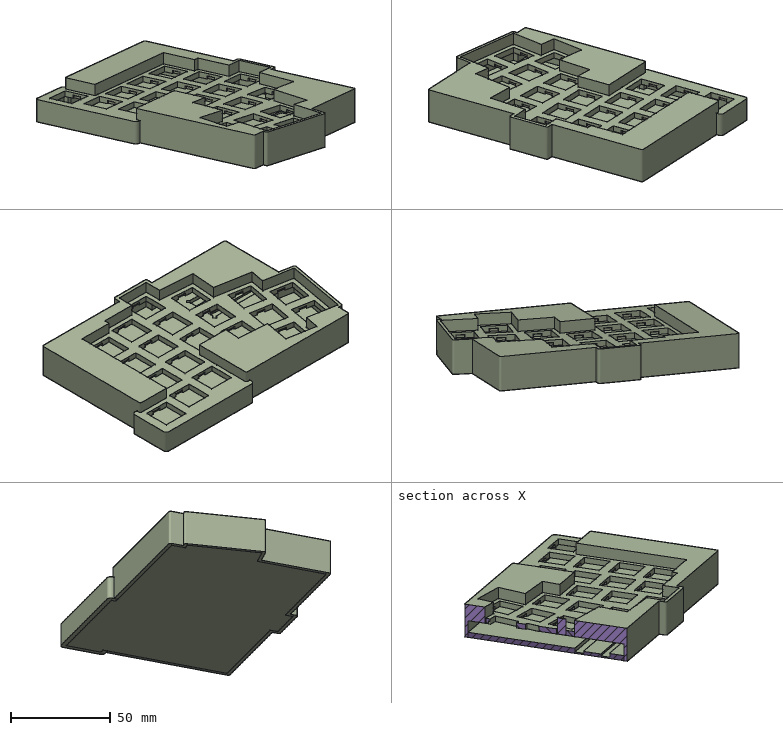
import cadquery as cq
import math

TOTAL_LENGTH = 142.4
TOTAL_DEPTH = 95.8
TOTAL_HEIGHT = 18.0
PLATE_TOP = 12.0
PLATE_THICKNESS = 3.0
PLATE_BOTTOM = PLATE_TOP - PLATE_THICKNESS
BASE_THICKNESS = 3.0

PITCH = 19.1
HALF_PITCH = PITCH / 2
KEY_HOLE = 14.0
CLIP_WIDTH = 4.5
CLIP_DEPTH = 1.0
CLIP_HEIGHT = 1.5
STAGGER = 3.0
INDEX_X = 88.1
INDEX_Y = 35.7
INDEX_TILT = -4
INNER_Y = 17.4
INNER_TILT = -10

TRAY_MARGIN = 2.5
TRAY_RADIUS = 2.0
TRAY_LENGTH = 3 * PITCH + 2 * TRAY_MARGIN
TRAY_DEPTH = PITCH + 2 * TRAY_MARGIN

WALL = 2.0
HOUSING_RADIUS = 1.0
HOUSING_LEFT = 3.1
HOUSING_RIGHT = 132.7
HOUSING_FRONT = 3.0
HOUSING_BACK = 91.7
END_CLEARANCE = 0.3

POCKET_LEFT = 97.1
POCKET_FRONT = 63.2
POCKET_BACK = 82.0
POCKET_DEPTH = 1.0
CHANNEL_DEPTH = 2.0
RIDGE_WIDTH = 9.5
RELIEF_DIAMETER = 2.1

OUTSIDE = -7.1


class Column:
    """A line of keys: its lowest key centre, its number of keys and its tilt in degrees."""

    def __init__(self, x, y, count, tilt=0.0):
        self.x = x
        self.y = y
        self.count = count
        self.tilt = tilt

    def point(self, along, up):
        """A point given in the column's own tilted axes, from its lowest key centre."""
        turn = math.radians(self.tilt)
        return (
            self.x + along * math.cos(turn) - up * math.sin(turn),
            self.y + along * math.sin(turn) + up * math.cos(turn),
        )

    def key_centres(self):
        return [self.point(0, row * PITCH) for row in range(self.count)]

    def corner(self, side, end, half=HALF_PITCH):
        """Corner of the column's cells: side -1 left or 1 right, end -1 front or 1 back."""
        up = -half if end < 0 else (self.count - 1) * PITCH + half
        return self.point(side * half, up)


def inner_column_x():
    """Place of the inner column that brings the end column's rounded corner to the full length."""
    turn = math.radians(INNER_TILT)
    corner_centre = HALF_PITCH + WALL - HOUSING_RADIUS
    along = PITCH + corner_centre
    up = HALF_PITCH + PITCH + corner_centre
    return TOTAL_LENGTH - HOUSING_RADIUS - along * math.cos(turn) + up * math.sin(turn)


FIRST_KEY = TRAY_MARGIN + HALF_PITCH

outer = Column(FIRST_KEY, FIRST_KEY, 1)
pinky = Column(FIRST_KEY + PITCH, FIRST_KEY + STAGGER, 4)
ring = Column(FIRST_KEY + 2 * PITCH, FIRST_KEY + 2 * STAGGER, 4)
middle = Column(FIRST_KEY + 3 * PITCH, TOTAL_DEPTH - WALL - HALF_PITCH - 2 * PITCH, 3)
index = Column(INDEX_X, INDEX_Y, 3, tilt=INDEX_TILT)
inner = Column(inner_column_x(), INNER_Y, 3, tilt=INNER_TILT)
end = Column(*inner.point(PITCH, HALF_PITCH), 2, tilt=INNER_TILT)
COLUMNS = [outer, pinky, ring, middle, index, inner, end]


def meet(first, first_angle, second, second_angle):
    """Where the line through one point meets the line through another; angles in degrees."""
    a = math.radians(first_angle)
    b = math.radians(second_angle)
    dx = second[0] - first[0]
    dy = second[1] - first[1]
    distance = (dx * math.sin(b) - dy * math.cos(b)) / math.sin(b - a)
    return (first[0] + distance * math.cos(a), first[1] + distance * math.sin(a))


def prism(points, bottom, top):
    return cq.Workplane("XY").workplane(offset=bottom).polyline(points).close().extrude(top - bottom)


def block(left, right, front, back, bottom, top):
    return (
        cq.Workplane("XY")
        .box(right - left, back - front, top - bottom, centered=False)
        .translate((left, front, bottom))
    )


def key_field(front_left, end_half, bottom, top):
    """Prism over all key cells, from the given front left corner; end_half sizes the end column."""
    right_end = end.corner(1, 1, end_half)
    front_end = end.corner(1, -1, end_half)
    points = [
        (front_left, outer.corner(-1, 1)[1]),
        (pinky.corner(-1, 1)[0], outer.corner(-1, 1)[1]),
        pinky.corner(-1, 1),
        pinky.corner(1, 1),
        ring.corner(-1, 1),
        ring.corner(1, 1),
        middle.corner(-1, 1),
        middle.corner(1, 1),
        meet(middle.corner(1, 1), 90, index.corner(1, 1), index.tilt),
        index.corner(1, 1),
        meet(index.corner(1, 1), 90 + index.tilt, inner.corner(1, 1), inner.tilt),
        inner.corner(1, 1),
        meet(inner.corner(1, 1), 90 + inner.tilt, right_end, end.tilt),
        right_end,
        front_end,
        meet(inner.corner(1, -1), 90 + inner.tilt, front_end, end.tilt),
        inner.corner(1, -1),
        inner.corner(-1, -1),
        meet(inner.corner(-1, -1), 90 + inner.tilt, index.corner(-1, -1), index.tilt),
        index.corner(-1, -1),
        meet(index.corner(-1, -1), 90 + index.tilt, middle.corner(1, -1), 0),
        middle.corner(-1, -1),
        (middle.corner(-1, -1)[0], front_left),
        (front_left, front_left),
    ]
    return prism(points, bottom, top)


def tray_block():
    return block(0, TRAY_LENGTH, 0, TRAY_DEPTH, 0, PLATE_TOP).edges("|Z").fillet(TRAY_RADIUS)


def cavity(top):
    """Hollow inside the housing and the tray, also the outline of the base."""
    main = block(
        HOUSING_LEFT + WALL, HOUSING_RIGHT - WALL, HOUSING_FRONT + WALL, HOUSING_BACK - WALL, 0, top
    )
    return main.union(key_field(TRAY_MARGIN, HALF_PITCH + END_CLEARANCE, 0, top))


def column_block(column):
    """Rounded tall block one wall larger than a column's cells."""
    length = column.count * PITCH + 2 * WALL
    half_way = (column.count - 1) * PITCH / 2
    x, y = column.point(0, half_way)
    return (
        cq.Workplane("XY")
        .box(PITCH + 2 * WALL, length, TOTAL_HEIGHT, centered=(True, True, False))
        .edges("|Z")
        .fillet(HOUSING_RADIUS)
        .rotate((0, 0, 0), (0, 0, 1), column.tilt)
        .translate((x, y, 0))
    )


def make_housing():
    """Hollow tall block, open over the keys, that fits around the tray and plate."""
    body = block(HOUSING_LEFT, HOUSING_RIGHT, HOUSING_FRONT, HOUSING_BACK, 0, TOTAL_HEIGHT)
    body = body.edges("|Z").fillet(HOUSING_RADIUS)
    body = body.union(column_block(middle)).union(column_block(end))
    body = body.cut(key_field(OUTSIDE, HALF_PITCH + END_CLEARANCE, 0, TOTAL_HEIGHT))
    front_corners = [
        (HOUSING_LEFT, outer.corner(-1, 1)[1]),
        (middle.corner(-1, -1)[0], HOUSING_FRONT),
    ]
    for x, y in front_corners:
        nearest = cq.selectors.NearestToPointSelector((x, y, TOTAL_HEIGHT / 2))
        body = body.edges("|Z").edges(nearest).fillet(HOUSING_RADIUS)
    return body.cut(cavity(PLATE_BOTTOM)).cut(tray_block())


def key_cutter():
    """Square switch hole with clip recesses under its front and back edges."""
    hole = cq.Workplane("XY").box(KEY_HOLE, KEY_HOLE, PLATE_THICKNESS, centered=(True, True, False))
    clips = cq.Workplane("XY").box(
        CLIP_WIDTH, KEY_HOLE + 2 * CLIP_DEPTH, CLIP_HEIGHT, centered=(True, True, False)
    )
    return hole.union(clips)


def make_plate():
    """Front tray walls and the switch plate in one piece."""
    body = tray_block().union(key_field(TRAY_MARGIN, HALF_PITCH, PLATE_BOTTOM, PLATE_TOP))
    body = body.cut(cavity(PLATE_BOTTOM))
    for column in COLUMNS:
        cutter = key_cutter().rotate((0, 0, 0), (0, 0, 1), column.tilt)
        for x, y in column.key_centres():
            body = body.cut(cutter.translate((x, y, PLATE_BOTTOM)))
    return body


def make_base():
    """Floor that fills the cavity, with the controller pocket: two channels beside a low ridge."""
    right = HOUSING_RIGHT - WALL
    body = cavity(BASE_THICKNESS)
    channel_floor = BASE_THICKNESS - CHANNEL_DEPTH
    body = body.cut(block(POCKET_LEFT, right, POCKET_FRONT, POCKET_BACK, channel_floor, BASE_THICKNESS))
    centre = (POCKET_FRONT + POCKET_BACK) / 2
    ridge_top = BASE_THICKNESS - POCKET_DEPTH
    reliefs = (
        cq.Workplane("XY")
        .workplane(offset=channel_floor)
        .pushPoints([(POCKET_LEFT, POCKET_FRONT), (POCKET_LEFT, POCKET_BACK)])
        .circle(RELIEF_DIAMETER / 2)
        .extrude(CHANNEL_DEPTH)
    )
    ridge = block(
        POCKET_LEFT, right, centre - RIDGE_WIDTH / 2, centre + RIDGE_WIDTH / 2, channel_floor, ridge_top
    )
    return body.cut(reliefs).union(ridge)


housing = make_housing()
plate = make_plate()
base = make_base()

result = cq.Compound.makeCompound([housing.val(), plate.val(), base.val()])